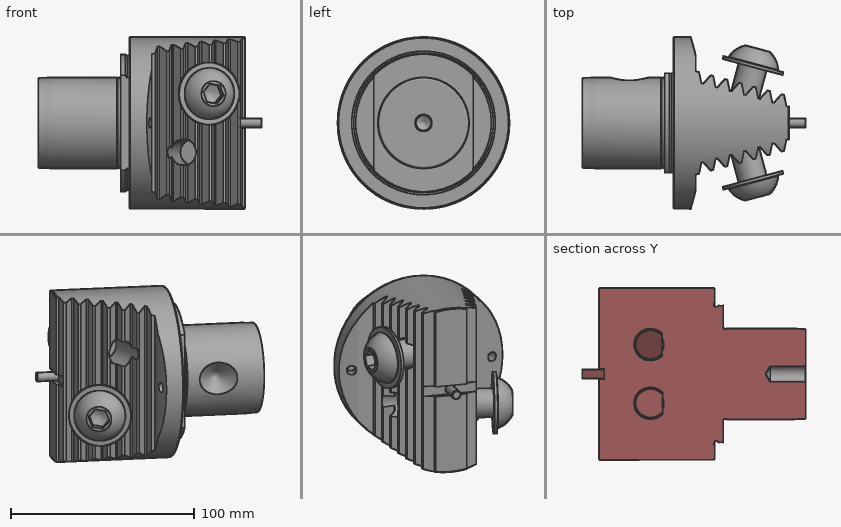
import cadquery as cq
import math

TILT = math.radians(15)
SHANK_RADIUS = 24.9
PILOT_RADIUS = 24.7
END_ROUND = 1.1
PILOT_END = 3.4
TAPER_END = 7.1
COLLAR_START = 45.1
COLLAR_RADIUS = 37.5
COLLAR_FLAT = 27.1
FLANGE_START = 49.7
FLANGE_RADIUS = 94.0 / 2
BODY_END = 113.0
EDGE_CHAMFER = 0.6
SHANK_RELIEF = 0.4
FACE_RELIEF = 0.5
COLLAR_RELIEF = 0.9
RELIEF_LENGTH = 2.1
RELIEF_RIM = 39.2
SHANK_CORNER = 1.1
COLLAR_CORNER = 1.5

SEAT_X = 62.1
SEAT_HALF = 36.9
FIRST_CREST_X = 63.9
FIRST_CREST_Y = 27.7
TOOTH_COUNT = 7
CREST_SPAN = 48.0
TOOTH_PITCH = CREST_SPAN / (TOOTH_COUNT - 1)
TOOTH_DEPTH = 5.5
CREST_WIDTH = 1.5
ROOT_WIDTH = 1.0
FLANK_RUN = (TOOTH_PITCH - CREST_WIDTH - ROOT_WIDTH) / 2

CENTRE_HOLE_RADIUS = 4.2
CENTRE_HOLE_DEPTH = 19.5
CENTRE_HOLE_CHAMFER = 0.5
DRILL_TIP_SLOPE = math.tan(math.radians(30))
DIMPLE_X = 25.8
DIMPLE_RADIUS = 10.5
COOLANT_RADIUS = 2.6
COOLANT_Y = 40.3
COOLANT_DEPTH = 7.3

HEAD_X = 93.5
HEAD_Y = 32.1
HEAD_Z = 16.0
SCREW_RADIUS = 8.0
SCREW_LENGTH = 35.0
CLEARANCE_RADIUS = 8.5
FAR_BORE_RADIUS = 7.0
HEAD_RADIUS = 14.0
HEAD_HEIGHT = 8.8
HEAD_LAND = 0.4
HEAD_TOP_RADIUS = 6.8
SOCKET_FLATS = 10.0
SOCKET_CORNER = SOCKET_FLATS / math.sqrt(3)
SOCKET_TURN = 10
SOCKET_WALL = 5.3
SOCKET_DEPTH = 7.6
WASHER_RADIUS = 17.0
WASHER_THICKNESS = 1.7

PIN_RADIUS = 5.0 / 2
PIN_END = 122.2
PIN_CHAMFER = 0.4
SLOT_WIDTH = 5.6
SLOT_X = FIRST_CREST_X + CREST_SPAN * math.cos(TILT)

FAR = 2 * FLANGE_RADIUS
AXIS_START = cq.Vector(0, 0, 0)
AXIS_END = cq.Vector(1, 0, 0)


def half_turn(shape):
    """Copy turned 180 degrees about the X axis."""
    return shape.rotate(AXIS_START, AXIS_END, 180)


def screw_plane():
    """Plane on the bearing face of the -Y screw, its normal pointing out of the body."""
    normal = (math.sin(TILT), -math.cos(TILT), 0)
    across = (math.cos(TILT), math.sin(TILT), 0)
    return cq.Plane(origin=(HEAD_X, -HEAD_Y, HEAD_Z), xDir=across, normal=normal)


def arc_inset(radius):
    """Offset from a corner's sharp point to the middle of its arc."""
    return radius * (1 - math.sqrt(0.5))


def turned_blank():
    """Shank, collar and flange turned about the X axis."""
    shank_floor = SHANK_RADIUS - SHANK_RELIEF
    collar_floor = COLLAR_RADIUS - COLLAR_RELIEF
    shank_bend = arc_inset(SHANK_CORNER)
    collar_bend = arc_inset(COLLAR_CORNER)
    face_relief = FLANGE_START + FACE_RELIEF
    round_mid = arc_inset(END_ROUND)
    return (
        cq.Workplane("XY")
        .moveTo(0, 0)
        .lineTo(0, PILOT_RADIUS - END_ROUND)
        .threePointArc((round_mid, PILOT_RADIUS - round_mid), (END_ROUND, PILOT_RADIUS))
        .lineTo(PILOT_END, PILOT_RADIUS)
        .lineTo(TAPER_END, SHANK_RADIUS)
        .lineTo(COLLAR_START - RELIEF_LENGTH, SHANK_RADIUS)
        .lineTo(COLLAR_START - SHANK_CORNER - SHANK_RELIEF, shank_floor)
        .lineTo(COLLAR_START - SHANK_CORNER, shank_floor)
        .threePointArc(
            (COLLAR_START - shank_bend, shank_floor + shank_bend),
            (COLLAR_START, shank_floor + SHANK_CORNER),
        )
        .lineTo(COLLAR_START, COLLAR_RADIUS)
        .lineTo(FLANGE_START - RELIEF_LENGTH, COLLAR_RADIUS)
        .lineTo(face_relief - COLLAR_CORNER, collar_floor)
        .threePointArc(
            (face_relief - collar_bend, collar_floor + collar_bend),
            (face_relief, collar_floor + COLLAR_CORNER),
        )
        .lineTo(FLANGE_START, RELIEF_RIM)
        .lineTo(FLANGE_START, FLANGE_RADIUS - EDGE_CHAMFER)
        .lineTo(FLANGE_START + EDGE_CHAMFER, FLANGE_RADIUS)
        .lineTo(BODY_END - EDGE_CHAMFER, FLANGE_RADIUS)
        .lineTo(BODY_END, FLANGE_RADIUS - EDGE_CHAMFER)
        .lineTo(BODY_END, 0)
        .close()
        .revolve(360, (0, 0, 0), (1, 0, 0))
    )


def collar_side(side):
    """Material beyond one collar flat; side is +1 or -1 along Y."""
    width = FAR - COLLAR_FLAT
    return (
        cq.Workplane("XY")
        .box(FLANGE_START - COLLAR_START, width, 2 * FAR, centered=(False, True, True))
        .translate((COLLAR_START, side * (COLLAR_FLAT + width / 2), 0))
    )


def slope_point(along, depth):
    """Point on the +Y serrated face, along the slope from the first crest edge and below the crest line."""
    x = FIRST_CREST_X + along * math.cos(TILT) - depth * math.sin(TILT)
    y = FIRST_CREST_Y - along * math.sin(TILT) - depth * math.cos(TILT)
    return x, y


def serration_cut():
    """Everything removed above the +Y serrated face and in front of the flange."""
    first_crest_start = (SEAT_X - FIRST_CREST_X) / math.cos(TILT)
    points = [slope_point(first_crest_start, 0), slope_point(0, 0)]
    for tooth in range(TOOTH_COUNT - 1):
        start = tooth * TOOTH_PITCH
        points.append(slope_point(start + FLANK_RUN, TOOTH_DEPTH))
        points.append(slope_point(start + FLANK_RUN + ROOT_WIDTH, TOOTH_DEPTH))
        points.append(slope_point(start + TOOTH_PITCH - CREST_WIDTH, 0))
        points.append(slope_point(start + TOOTH_PITCH, 0))
    last_root = slope_point(CREST_SPAN + FLANK_RUN, TOOTH_DEPTH)
    points.append(last_root)
    points.append((BODY_END, last_root[1] - (BODY_END - last_root[0]) * math.tan(TILT)))
    points.append((BODY_END, FAR))
    points.append((SEAT_X - (FAR - SEAT_HALF) * math.tan(TILT), FAR))
    points.append((SEAT_X, SEAT_HALF))
    return cq.Workplane("XY").polyline(points).close().extrude(FAR, both=True)


def screw_bore():
    """Clearance for the -Y screw, running on as a smaller bore to the far serrated face."""
    clearance = cq.Workplane(screw_plane()).circle(CLEARANCE_RADIUS).extrude(-SCREW_LENGTH)
    far_bore = cq.Workplane(screw_plane()).circle(FAR_BORE_RADIUS).extrude(-FAR)
    return clearance.union(far_bore)


def centre_hole():
    """Blind drilled hole in the free end of the shank."""
    mouth = CENTRE_HOLE_RADIUS + CENTRE_HOLE_CHAMFER
    tip = CENTRE_HOLE_DEPTH + CENTRE_HOLE_RADIUS * DRILL_TIP_SLOPE
    outline = [
        (0, 0),
        (0, mouth),
        (CENTRE_HOLE_CHAMFER, CENTRE_HOLE_RADIUS),
        (CENTRE_HOLE_DEPTH, CENTRE_HOLE_RADIUS),
        (tip, 0),
    ]
    return cq.Workplane("XY").polyline(outline).close().revolve(360, (0, 0, 0), (1, 0, 0))


def clamp_dimple():
    """Conical seat sunk into the +Y side of the shank."""
    mouth = cq.Vector(DIMPLE_X, SHANK_RADIUS, 0)
    inward = cq.Vector(0, -1, 0)
    cone = cq.Solid.makeCone(DIMPLE_RADIUS, 0, DIMPLE_RADIUS, pnt=mouth, dir=inward)
    return cq.Workplane(obj=cone)


def coolant_hole():
    """Hole square to the sloped flange face on the -Y side."""
    x = SEAT_X - (COOLANT_Y - SEAT_HALF) * math.tan(TILT)
    normal = (math.cos(TILT), -math.sin(TILT), 0)
    plane = cq.Plane(origin=(x, -COOLANT_Y, 0), xDir=(0, 0, 1), normal=normal)
    return cq.Workplane(plane).circle(COOLANT_RADIUS).extrude(COOLANT_DEPTH, both=True)


def pin_slot():
    """Slot across the nose, open along Y."""
    return (
        cq.Workplane("XY")
        .box(BODY_END - SLOT_X, FAR, SLOT_WIDTH, centered=(False, True, True))
        .translate((SLOT_X, 0, 0))
    )


def make_body():
    body = turned_blank().cut(collar_side(1)).cut(collar_side(-1))
    for cutter in (serration_cut(), screw_bore(), coolant_hole()):
        body = body.cut(cutter).cut(half_turn(cutter))
    return body.cut(centre_hole()).cut(clamp_dimple()).cut(pin_slot())


def make_screw():
    """Button-head screw on the -Y side."""
    dome = HEAD_HEIGHT - HEAD_LAND
    drop = (HEAD_RADIUS**2 - HEAD_TOP_RADIUS**2 - dome**2) / (2 * dome)
    sphere = math.hypot(HEAD_RADIUS, drop)
    mid_height = dome / 2
    mid_radius = math.sqrt(sphere**2 - (drop + mid_height) ** 2)
    turned = (
        cq.Workplane("XZ")
        .moveTo(0, -SCREW_LENGTH)
        .lineTo(SCREW_RADIUS, -SCREW_LENGTH)
        .lineTo(SCREW_RADIUS, 0)
        .lineTo(HEAD_RADIUS, 0)
        .lineTo(HEAD_RADIUS, HEAD_LAND)
        .threePointArc((mid_radius, HEAD_LAND + mid_height), (HEAD_TOP_RADIUS, HEAD_HEIGHT))
        .lineTo(0, HEAD_HEIGHT)
        .close()
        .revolve(360, (0, 0, 0), (0, 1, 0))
    )
    return turned.cut(hex_socket()).val().moved(cq.Location(screw_plane()))


def hex_socket():
    """Hexagonal socket with a conical floor, sunk from the top of the head."""
    prism = (
        cq.Workplane("XY", origin=(0, 0, HEAD_HEIGHT))
        .polygon(6, 2 * SOCKET_CORNER)
        .extrude(-SOCKET_DEPTH)
        .rotate((0, 0, 0), (0, 0, 1), -SOCKET_TURN)
    )
    outline = [
        (0, HEAD_HEIGHT),
        (HEAD_RADIUS, HEAD_HEIGHT),
        (HEAD_RADIUS, HEAD_HEIGHT - SOCKET_WALL),
        (SOCKET_CORNER, HEAD_HEIGHT - SOCKET_WALL),
        (0, HEAD_HEIGHT - SOCKET_DEPTH),
    ]
    floor = cq.Workplane("XZ").polyline(outline).close().revolve(360, (0, 0, 0), (0, 1, 0))
    return prism.intersect(floor)


def make_washer():
    """Flat washer under the head of the -Y screw."""
    ring = cq.Workplane(screw_plane()).circle(WASHER_RADIUS).circle(SCREW_RADIUS)
    return ring.extrude(-WASHER_THICKNESS).val()


def make_pin():
    """Round pin standing on the slot floor."""
    pin = cq.Workplane("YZ", origin=(SLOT_X, 0, 0)).circle(PIN_RADIUS).extrude(PIN_END - SLOT_X)
    return pin.faces(">X").chamfer(PIN_CHAMFER)


body = make_body()
pin = make_pin()
screws = []
washers = []
for angle in (0, 180):
    screws.append(make_screw().rotate(AXIS_START, AXIS_END, angle))
    washers.append(make_washer().rotate(AXIS_START, AXIS_END, angle))

result = cq.Compound.makeCompound([body.val(), pin.val(), *screws, *washers])